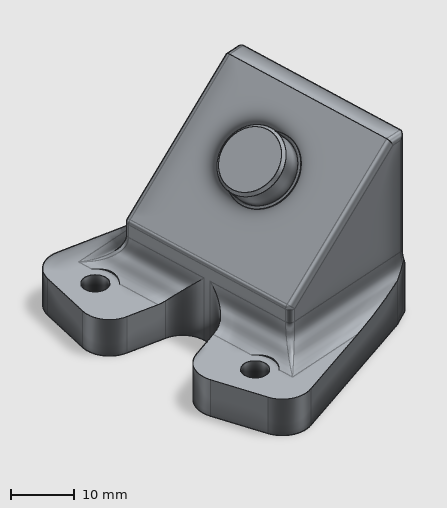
import cadquery as cq
import math

plate_height = 7.1
corner_radius = 5.0
taper = math.radians(15)
outer_arc = (21.9, -33.4)
inner_arc = (12.15, -36.0)
back_bend_depth = 3.45

body_half_width = 17.55
body_depth = 26.7
body_height = 34.8
top_depth = 3.15
slope_angle = 40.0
flare_radius = 5.0
edge_round = 1.0

slot_flat = 1.25

hole_x = 16.85
hole_y = -34.15
hole_diameter = 4.5
relief_diameter = 7.55

button_y = -13.5
collar_diameter = 13.0
collar_height = 0.2
button_diameter = 12.0
button_height = 5.0
button_chamfer = 0.55

slope = math.radians(slope_angle)
flare_top = plate_height + flare_radius
slope_front_z = body_height - (body_depth - top_depth) * math.tan(slope)
span = 2 * (body_half_width + flare_radius)
diagonal = math.sqrt(0.5)
tolerance = 0.005


def on_arc(center, angle):
    """Point on a corner arc, with the angle measured from +X."""
    return (
        center[0] + corner_radius * math.cos(angle),
        center[1] + corner_radius * math.sin(angle),
    )


def mirrored(point):
    return (-point[0], point[1])


def footprint(height):
    """Tapered outline with four rounded front corners and the central slot."""
    side_end = on_arc(outer_arc, taper)
    outer_mid = on_arc(outer_arc, taper - math.pi / 4)
    front_start = on_arc(outer_arc, taper - math.pi / 2)
    front_end = on_arc(inner_arc, taper - math.pi / 2)
    inner_mid = on_arc(inner_arc, -math.pi / 2)
    slot_start = on_arc(inner_arc, math.pi + taper)
    slot_arc = (slot_flat / 2, -body_depth - corner_radius)
    slot_end = on_arc(slot_arc, taper)
    slot_mid = on_arc(slot_arc, (taper + math.pi / 2) / 2)
    slot_top = on_arc(slot_arc, math.pi / 2)
    bend = (side_end[0] - (-back_bend_depth - side_end[1]) * math.tan(taper), -back_bend_depth)
    back = (body_half_width, 0)
    return (
        cq.Workplane("XY")
        .moveTo(*back)
        .lineTo(*bend)
        .lineTo(*side_end)
        .threePointArc(outer_mid, front_start)
        .lineTo(*front_end)
        .threePointArc(inner_mid, slot_start)
        .lineTo(*slot_end)
        .threePointArc(slot_mid, slot_top)
        .lineTo(*mirrored(slot_top))
        .threePointArc(mirrored(slot_mid), mirrored(slot_end))
        .lineTo(*mirrored(slot_start))
        .threePointArc(mirrored(inner_mid), mirrored(front_end))
        .lineTo(*mirrored(front_start))
        .threePointArc(mirrored(outer_mid), mirrored(side_end))
        .lineTo(*mirrored(bend))
        .lineTo(*mirrored(back))
        .close()
        .extrude(height)
    )


def wedge():
    """Sloped block whose front and sides flare out to the plate, mitred at the corners."""
    foot_x = body_half_width + flare_radius
    foot_y = -body_depth - flare_radius
    bulge = flare_radius * (1 - diagonal)
    bulge_z = plate_height + bulge
    front_shape = (
        cq.Workplane("XZ")
        .moveTo(-foot_x, 0)
        .lineTo(-foot_x, plate_height)
        .threePointArc((-body_half_width - bulge, bulge_z), (-body_half_width, flare_top))
        .lineTo(-body_half_width, body_height)
        .lineTo(body_half_width, body_height)
        .lineTo(body_half_width, flare_top)
        .threePointArc((body_half_width + bulge, bulge_z), (foot_x, plate_height))
        .lineTo(foot_x, 0)
        .close()
        .extrude(span)
    )
    side_shape = (
        cq.Workplane("YZ")
        .lineTo(0, body_height)
        .lineTo(-top_depth, body_height)
        .lineTo(-body_depth, slope_front_z)
        .lineTo(-body_depth, flare_top)
        .threePointArc((-body_depth - bulge, bulge_z), (foot_y, plate_height))
        .lineTo(foot_y, 0)
        .close()
        .extrude(span / 2, both=True)
    )
    return front_shape.intersect(side_shape)


def needs_rounding(edge):
    """True for the side edges above the plate and the front edge of the slope."""
    box = edge.BoundingBox()
    on_side = abs(edge.Center().x) > body_half_width - tolerance
    above_plate = box.zmin > plate_height - tolerance
    flare_seam = box.zmax < flare_top + tolerance and box.zlen < tolerance
    slope_front = abs(box.zmax - slope_front_z) < tolerance and box.zlen < tolerance
    return slope_front or (on_side and above_plate and not flare_seam)


def rounded_wedge():
    block = wedge()
    edges = [edge for edge in block.edges().vals() if needs_rounding(edge)]
    return block.newObject(edges).fillet(edge_round)


def drilled(part):
    """Through holes, with the flare cleared around each one."""
    centers = [(-hole_x, hole_y), (hole_x, hole_y)]
    holes = cq.Workplane("XY").pushPoints(centers).circle(hole_diameter / 2).extrude(plate_height)
    reliefs = (
        cq.Workplane("XY", origin=(0, 0, plate_height))
        .pushPoints(centers)
        .circle(relief_diameter / 2)
        .extrude(flare_radius)
    )
    return part.cut(holes).cut(reliefs)


def button():
    """Chamfered button on a thin collar, square to the slope."""
    button_z = body_height + (button_y + top_depth) * math.tan(slope)
    seat = cq.Plane(
        origin=(0, button_y, button_z),
        xDir=(1, 0, 0),
        normal=(0, -math.sin(slope), math.cos(slope)),
    )
    collar = cq.Workplane(seat).circle(collar_diameter / 2).extrude(collar_height)
    cap = (
        cq.Workplane(seat)
        .circle(button_diameter / 2)
        .extrude(button_height)
        .faces(cq.selectors.DirectionMinMaxSelector(seat.zDir, True))
        .chamfer(button_chamfer)
    )
    return collar.union(cap)


plate = footprint(plate_height)
body = rounded_wedge().intersect(footprint(body_height))
result = drilled(plate.union(body)).union(button())